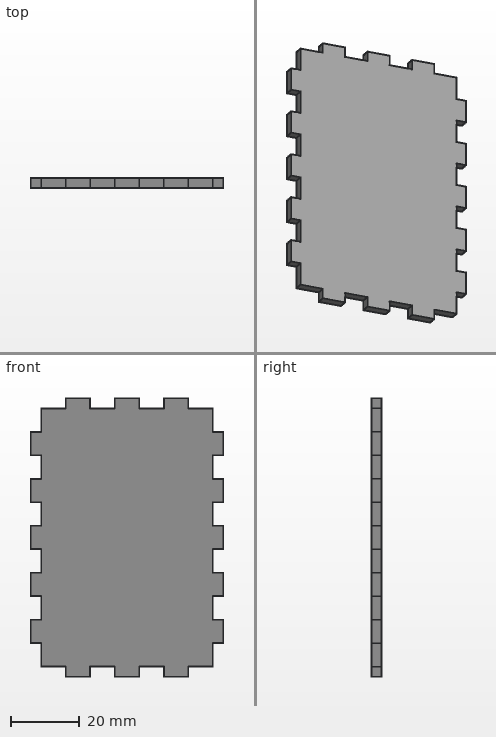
import cadquery as cq

height = 81.0
width = 56.0
thickness = 3.0

tab_depth = thickness
end_tab_count = 3
side_tab_count = 5

body_width = width - 2 * tab_depth
body_height = height - 2 * tab_depth


def tab_layout(edge_length, tab_count):
    """Return tab width and centres for equal tabs and gaps, with a gap at each end."""
    segment_count = 2 * tab_count + 1
    tab_width = edge_length / segment_count
    centres = [(2 * i - tab_count + 1) * tab_width for i in range(tab_count)]
    return tab_width, centres


def centred_box(x_size, z_size, x_centre=0, z_centre=0):
    """Return a box of full sheet thickness, centred on Y = 0."""
    return cq.Workplane("XY").box(x_size, thickness, z_size).translate((x_centre, 0, z_centre))


result = centred_box(body_width, body_height)

end_tab_width, end_tab_centres = tab_layout(body_width, end_tab_count)
for x in end_tab_centres:
    result = result.union(centred_box(end_tab_width, height, x_centre=x))

side_tab_width, side_tab_centres = tab_layout(body_height, side_tab_count)
for z in side_tab_centres:
    result = result.union(centred_box(width, side_tab_width, z_centre=z))

result = result.clean()